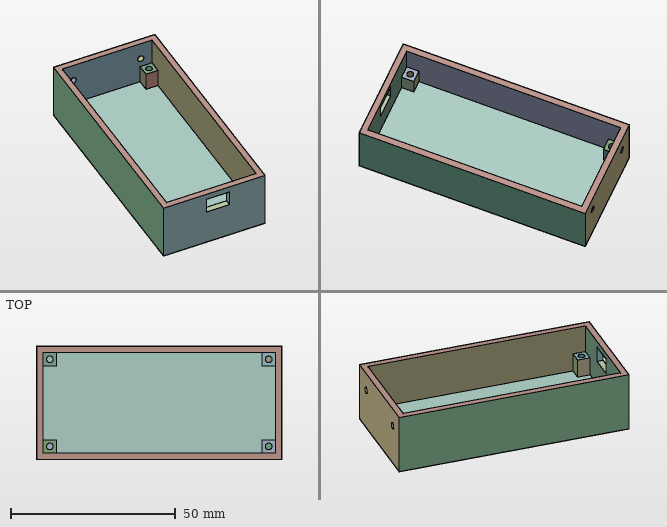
import cadquery as cq

length = 74.5
width = 34.5
height = 19.0
wall = 2.0
floor_thickness = 4.0

post_side = 4.0
post_height = 5.95
post_hole_diameter = 2.0

wall_hole_diameter = 2.0
wall_hole_spacing = 22.95
wall_hole_z = 13.05

window_width = 7.75
window_height = 5.0
window_center_y = 1.3
window_bottom_z = 12.0

inner_length = length - 2 * wall
inner_width = width - 2 * wall


def make_box():
    cavity = (
        cq.Workplane("XY")
        .workplane(offset=floor_thickness)
        .rect(inner_length, inner_width)
        .extrude(height - floor_thickness)
    )
    return cq.Workplane("XY").rect(length, width).extrude(height).cut(cavity)


def add_posts(body):
    """Add a post in each inner corner, drilled down to the floor."""
    spacing_x = inner_length - post_side
    spacing_y = inner_width - post_side
    floor_plane = cq.Workplane("XY").workplane(offset=floor_thickness)
    centers = floor_plane.rect(spacing_x, spacing_y, forConstruction=True).vertices()
    posts = centers.rect(post_side, post_side).extrude(post_height)
    holes = centers.circle(post_hole_diameter / 2).extrude(post_height)
    return body.union(posts).cut(holes)


def wall_holes():
    return (
        cq.Workplane("YZ")
        .workplane(offset=-length / 2)
        .pushPoints([(side * wall_hole_spacing / 2, wall_hole_z) for side in (-1, 1)])
        .circle(wall_hole_diameter / 2)
        .extrude(wall)
    )


def window():
    return (
        cq.Workplane("YZ")
        .workplane(offset=length / 2 - wall)
        .center(window_center_y, window_bottom_z + window_height / 2)
        .rect(window_width, window_height)
        .extrude(wall)
    )


result = add_posts(make_box()).cut(wall_holes()).cut(window())